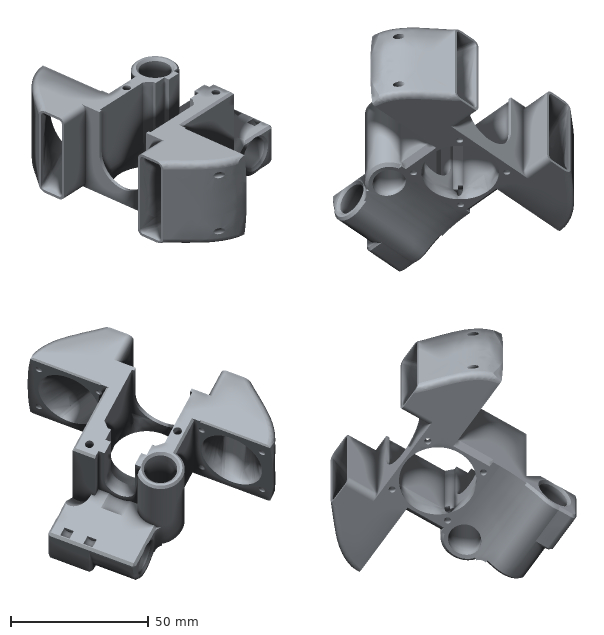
import cadquery as cq
import math

body_size = 35.0
half_width = body_size / 2
slot_z = body_size / 2
body_front = 12.3
post_end = 54.5
top_chamfer = 0.9
bottom_chamfer = 2.15
tube_chamfer = 1.2

block_end = 76.7
block_top = 10.2
block_bottom = -6.55
block_chamfer = 1.0
foot_bottom = -6.3
block_corner = 2.4
rod_y = 66.8
rod_z = 2.5
underside_start = 43.0

bore_diameter = 12.1
bore_lead_in = 1.0
tube_x = -15.2
tube_y = 48.8
tube_radius = 8.8
web_radius = 3.3

chamber_front = 13.7
chamber_end = 40.8
collar_end = 45.8
groove_end = 51.3
tail_end = 58.4
front_radius = 11.1
collar_radius = 8.2
groove_radius = 6.1
tail_radius = 8.5
seats = [
    (front_radius, body_front, chamber_front),
    (collar_radius, chamber_end, collar_end),
    (groove_radius, collar_end, groove_end),
    (tail_radius, groove_end, tail_end),
]

chamber_half = 12.0
chamber_chamfer = 2.5
chamber_floor = 6.8
fan_diameter = 28.3
fan_size = 30.0
screw_pitch = 24.05
screw_diameter = 2.5
chamber_screw_depth = 8.8
inner_screw_depth = 7.8
chamber_fan_y = 27.4

wing_span = 97.8
wing_back = 24.2
nozzle_width = 12.0
nozzle_wall = 1.1
throat_half_width = 12.1
wing_edge = 2.4
wing_bulge = 1.1
wing_flat = 5.9
rear_chamfer = 0.6
fan_x = half_width + fan_size / 2
nozzle_outer = half_width + nozzle_width
wing_curve = [(39.9, 8.8), (45.2, 14.7)]

pin_diameter = 3.2
pin_depth = 9.8
pin_places = [(12.7, 50.0), (-14.2, 31.5)]
trough_diameter = 3.7
trough_places = [1.9, 11.0]
trough_start = 71.8
relief_radius = 5.3
relief_length = 7.7
relief_x = 15.25


def box(x0, x1, y0, y1, z0, z1):
    return cq.Workplane("XY").box(x1 - x0, y1 - y0, z1 - z0, centered=False).translate((x0, y0, z0))


def cylinder_along_y(radius, x, z, y0, y1):
    return cq.Workplane("XZ", origin=(x, y0, z)).circle(radius).extrude(y0 - y1)


def lead_in(radius, depth):
    """Upward-opening countersink with its wide end at the origin."""
    cone = cq.Solid.makeCone(radius + depth, radius, depth, dir=cq.Vector(0, 0, -1))
    return cq.Workplane(obj=cone)


def side_profile():
    """Prism along X that bounds the central body from the side."""
    rod_radius = rod_z - block_bottom
    run = rod_y - underside_start
    hollow = (run**2 + rod_z**2 - rod_radius**2) / (2 * (rod_radius - rod_z))
    share = rod_radius / (hollow + rod_radius)
    meet = (rod_y - run * share, rod_z - (hollow + rod_z) * share)
    sweep = math.asin((meet[0] - underside_start) / hollow) / 2
    hollow_mid = (underside_start + hollow * math.sin(sweep), hollow * (math.cos(sweep) - 1))
    lean = math.asin((rod_y - meet[0]) / rod_radius) / 2
    round_mid = (rod_y - rod_radius * math.sin(lean), rod_z - rod_radius * math.cos(lean))
    return (
        cq.Workplane("YZ", origin=(-wing_span / 2, 0, 0))
        .moveTo(body_front, 0)
        .lineTo(underside_start, 0)
        .threePointArc(hollow_mid, meet)
        .threePointArc(round_mid, (rod_y, block_bottom))
        .radiusArc((rod_y + rod_radius, rod_z), -rod_radius)
        .lineTo(block_end, block_top - 2 * block_chamfer)
        .lineTo(block_end, body_size)
        .lineTo(body_front, body_size)
        .close()
        .extrude(wing_span)
    )


def rod_block():
    block = box(-half_width, half_width, body_front, block_end, block_bottom, block_top)
    block = block.intersect(side_profile())
    block = block.edges("(<X or >X) or (>Z and >Y)").chamfer(block_chamfer)
    foot = box(0, half_width, rod_y, block_end, foot_bottom, block_top)
    foot = foot.edges("|X and <Z and >Y").fillet(block_corner)
    foot = foot.edges("<X or >X or (>Z and >Y)").chamfer(block_chamfer)
    return block.union(foot)


def tube_web():
    """Hollow round that blends the back of the tube into the left side of the rod block."""
    blend_x = -half_width - web_radius
    blend_y = tube_y + math.sqrt((tube_radius + web_radius) ** 2 - (tube_x - blend_x) ** 2)
    web = (
        cq.Workplane("XY", origin=(0, 0, block_bottom))
        .polyline([(tube_x, tube_y), (tube_x, blend_y), (-half_width, blend_y), (blend_x, blend_y)])
        .close()
        .extrude(block_top - block_chamfer - block_bottom)
    )
    hollow = cq.Workplane("XY", origin=(blend_x, blend_y, block_bottom)).circle(web_radius).extrude(body_size)
    return web.cut(hollow).intersect(side_profile())


def central_body():
    posts = box(-half_width, half_width, body_front, post_end, block_bottom, body_size)
    posts = posts.faces(">Z").edges("|Y or >Y").chamfer(top_chamfer).intersect(side_profile())
    tube = cq.Workplane("XY", origin=(tube_x, tube_y, block_bottom)).circle(tube_radius)
    tube = tube.extrude(body_size - block_bottom).intersect(side_profile())
    tube = tube.faces(">Z").chamfer(top_chamfer)
    lower_edges = cq.selectors.BoxSelector((-96.8, 0, block_bottom), (96.8, 96.8, slot_z / 2))
    tube = tube.edges(lower_edges).chamfer(tube_chamfer)
    body = posts.union(tube).union(rod_block()).union(tube_web())
    for side in (-1, 1):
        edge = (
            cq.Workplane("XZ", origin=(0, body_front, 0))
            .polyline([(side * half_width, 0), (side * half_width, bottom_chamfer),
                       (side * (half_width - bottom_chamfer), 0)])
            .close()
            .extrude(body_front - (tube_y - tube_radius))
        )
        body = body.cut(edge)
    return body


def wing():
    """Right-hand duct shell, still solid inside."""
    solid = (
        cq.Workplane("XY")
        .moveTo(half_width, 0)
        .lineTo(nozzle_outer, 0)
        .spline(wing_curve + [(wing_span / 2, wing_back)], includeCurrent=True)
        .lineTo(half_width, wing_back)
        .close()
        .extrude(body_size)
    )
    solid = solid.edges("(not |Z) and (not |X) and (not <X)").fillet(wing_edge)
    solid = solid.edges("|Y and <X").fillet(wing_edge)
    rear_wedge = (
        cq.Workplane("YZ", origin=(half_width, wing_back, body_size))
        .polyline([(0, 0), (-rear_chamfer, 0), (0, -rear_chamfer)])
        .close()
        .extrude(wing_span / 2)
    )
    solid = solid.cut(rear_wedge)
    corner_x = wing_span / 2 - wing_bulge
    bow_height = (body_size - wing_flat) / 2
    bow_radius = (bow_height**2 + wing_bulge**2) / (2 * wing_bulge)
    bow = (
        cq.Workplane("XZ")
        .moveTo(0, 0)
        .lineTo(corner_x, 0)
        .radiusArc((wing_span / 2, slot_z - wing_flat / 2), -bow_radius)
        .lineTo(wing_span / 2, slot_z + wing_flat / 2)
        .radiusArc((corner_x, body_size), -bow_radius)
        .lineTo(0, body_size)
        .close()
        .extrude(-wing_back)
    )
    root = box(chamber_half, half_width + wing_edge, body_front, wing_back, 0, body_size)
    return solid.intersect(bow).union(root)


def duct():
    """Passage from the oval fan seat to the rectangular nozzle of the right-hand wing."""
    nozzle_x = half_width + nozzle_width / 2
    mouth = cq.Sketch().rect(nozzle_width - 2 * nozzle_wall, body_size - 2 * nozzle_wall)
    mouth = mouth.vertices().fillet(wing_edge - nozzle_wall)
    throat = cq.Sketch().ellipse(throat_half_width, fan_diameter / 2)
    passage = (
        cq.Workplane("XZ", origin=(nozzle_x, 0, slot_z))
        .placeSketch(mouth, throat.moved(cq.Location(cq.Vector(fan_x - nozzle_x, 0, -wing_back))))
        .loft()
    )
    half_pitch = screw_pitch / 2
    for z in (slot_z - half_pitch, slot_z + half_pitch):
        outer = cylinder_along_y(screw_diameter / 2, fan_x + half_pitch, z, 0, wing_back)
        inner_start = wing_back - inner_screw_depth
        inner = cylinder_along_y(screw_diameter / 2, fan_x - half_pitch, z, inner_start, wing_back)
        passage = passage.union(outer).union(inner)
    return passage


def seat(radius, y0, y1):
    """Slot with a round bottom about the hot-end axis, open at the top."""
    upper = box(-radius, radius, y0, y1, slot_z, body_size)
    return cylinder_along_y(radius, 0, slot_z, y0, y1).union(upper)


def chamber():
    room = box(-chamber_half, chamber_half, chamber_front, chamber_end, chamber_floor, body_size)
    room = room.edges("|Z and >Y").chamfer(chamber_chamfer)
    middle_y = (chamber_front + chamber_end) / 2
    inlet = (
        cq.Workplane("XY", origin=(0, chamber_fan_y, 0))
        .circle(fan_diameter / 2)
        .workplane(offset=chamber_floor)
        .center(0, middle_y - chamber_fan_y)
        .rect(2 * chamber_half, chamber_end - chamber_front)
        .loft()
    )
    screws = (
        cq.Workplane("XY", origin=(0, chamber_fan_y, 0))
        .rect(screw_pitch, screw_pitch, forConstruction=True)
        .vertices()
        .circle(screw_diameter / 2)
        .extrude(chamber_screw_depth)
    )
    return room.union(inlet).union(screws)


def rod_bores():
    radius = bore_diameter / 2
    upright = cq.Workplane("XY", origin=(tube_x, tube_y, block_bottom)).circle(radius)
    upright = upright.extrude(body_size - block_bottom)
    upright = upright.union(lead_in(radius, bore_lead_in).translate((tube_x, tube_y, body_size)))
    cross = cq.Workplane("YZ", origin=(-half_width, rod_y, rod_z)).circle(radius).extrude(body_size)
    for side in (-1, 1):
        cone = lead_in(radius, bore_lead_in).rotate((0, 0, 0), (0, 1, 0), side * 90)
        cross = cross.union(cone.translate((side * half_width, rod_y, rod_z)))
    return upright.union(cross)


def relief():
    """Round cut sloping down towards the right post, kept behind the post."""
    slope = math.degrees(math.asin(relief_radius / relief_length))
    bar = cq.Workplane("XY").circle(relief_radius).extrude(4 * relief_radius, both=True)
    bar = bar.rotate((0, 0, 0), (1, 0, 0), slope - 90).translate((relief_x, post_end, block_top))
    return bar.intersect(box(0, 2 * half_width, post_end, block_end, 0, block_top))


result = central_body()
right_wing = wing()
right_duct = duct()
result = result.union(right_wing).union(right_wing.mirror("YZ"))
result = result.cut(right_duct).cut(right_duct.mirror("YZ"))
result = result.cut(chamber())
for seat_radius, seat_start, seat_end in seats:
    result = result.cut(seat(seat_radius, seat_start, seat_end))
result = result.cut(box(-tail_radius, tail_radius, groove_end, post_end, block_top, body_size))
result = result.cut(rod_bores()).cut(relief())
for trough_x in trough_places:
    trough = cylinder_along_y(
        trough_diameter / 2, trough_x, block_top, trough_start, trough_start + trough_diameter
    )
    result = result.cut(trough)
for pin_x, pin_y in pin_places:
    pin = cq.Workplane("XY", origin=(pin_x, pin_y, body_size)).circle(pin_diameter / 2).extrude(-pin_depth)
    result = result.cut(pin)